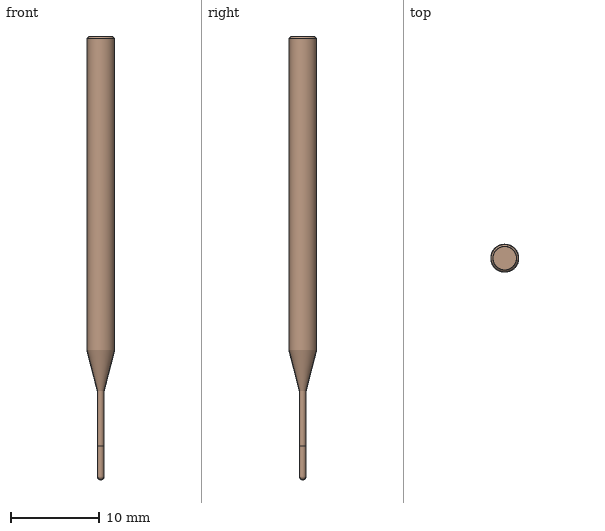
import cadquery as cq

total_length = 50.15
shank_diameter = 3.15
shank_chamfer = 0.25
shank_bottom = 14.7
neck_top = 10.05
cutter_diameter = 0.75
cutter_length = 3.85

shank_radius = shank_diameter / 2
cutter_radius = cutter_diameter / 2


def make_holder():
    """Chamfered shank, tapering to the slim neck of the same diameter as the cutter."""
    profile = (
        cq.Workplane("XZ")
        .moveTo(0, cutter_length)
        .lineTo(cutter_radius, cutter_length)
        .lineTo(cutter_radius, neck_top)
        .lineTo(shank_radius, shank_bottom)
        .lineTo(shank_radius, total_length - shank_chamfer)
        .lineTo(shank_radius - shank_chamfer, total_length)
        .lineTo(0, total_length)
        .close()
    )
    return profile.revolve(360, (0, 0, 0), (0, 1, 0))


def make_cutter():
    """Cylindrical cutting end with a full ball nose, seated under the neck."""
    profile = (
        cq.Workplane("XZ")
        .lineTo(0, cutter_length)
        .lineTo(cutter_radius, cutter_length)
        .lineTo(cutter_radius, cutter_radius)
        .radiusArc((0, 0), cutter_radius)
        .close()
    )
    return profile.revolve(360, (0, 0, 0), (0, 1, 0))


holder = make_holder()
cutter = make_cutter()
result = cq.Compound.makeCompound([holder.val(), cutter.val()])